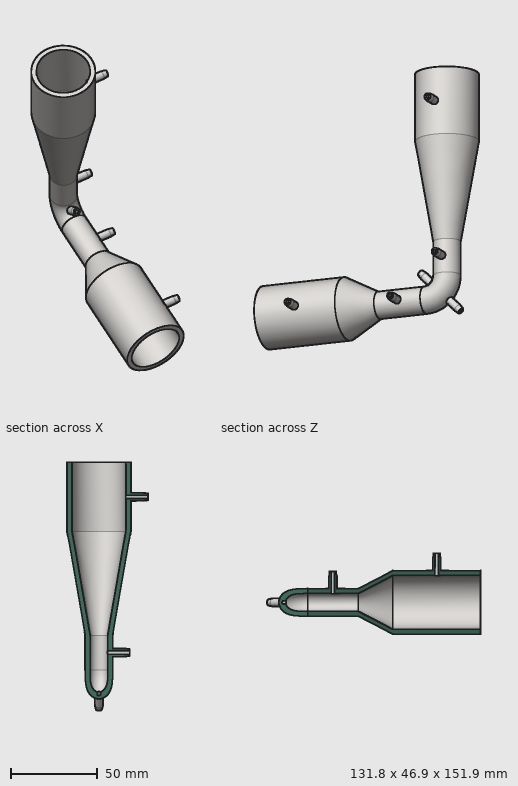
import cadquery as cq
import math

barrel_radius = 18.5
neck_radius = 8.0
wall = 3.0
barrel_bore_radius = barrel_radius - wall
neck_bore_radius = neck_radius - wall

bend_radius = 13.5

upright_neck = 20.0
upright_cone = 59.9
upright_barrel = 40.0
level_neck = 29.0
level_cone = 20.0
level_barrel = 50.8

port_length = 9.9
port_radius = 2.5
port_tip_length = 3.0
port_tip_radius = 2.0
port_bore_radius = 0.9

diagonal = math.sqrt(0.5)
back = (0, 1, 0)


def arm_profile(neck_r, barrel_r, neck, cone, barrel):
    """Solid of revolution along +Z: neck, cone, then barrel, starting at the elbow end."""
    cone_start = bend_radius + neck
    cone_end = cone_start + cone
    barrel_end = cone_end + barrel
    return (
        cq.Workplane("XZ")
        .moveTo(0, bend_radius)
        .lineTo(neck_r, bend_radius)
        .lineTo(neck_r, cone_start)
        .lineTo(barrel_r, cone_end)
        .lineTo(barrel_r, barrel_end)
        .lineTo(0, barrel_end)
        .close()
        .revolve(360, (0, 0, 0), (0, 1, 0))
    )


def elbow(radius):
    """Quarter torus from the upright arm to the level arm."""
    return (
        cq.Workplane(cq.Plane(origin=(0, 0, bend_radius), xDir=(0, 1, 0), normal=(0, 0, 1)))
        .circle(radius)
        .revolve(90, (0, -bend_radius, 0), (-1, -bend_radius, 0))
    )


def port_stem(centre, direction, tube_radius):
    """Round stem with a tapered tip, running outward from the tube centreline."""
    stem_length = tube_radius + port_length - port_tip_length
    start = cq.Vector(*centre)
    axis = cq.Vector(*direction)
    stem = cq.Solid.makeCylinder(port_radius, stem_length, start, axis)
    tip = cq.Solid.makeCone(
        port_radius, port_tip_radius, port_tip_length, start + axis * stem_length, axis
    )
    return stem.fuse(tip)


def port_bore(centre, direction, tube_radius):
    """Passage from the tube centreline out through the port tip."""
    depth = tube_radius + port_length
    return cq.Solid.makeCylinder(port_bore_radius, depth, cq.Vector(*centre), cq.Vector(*direction))


def hollow_with_ports(outside, inside, ports):
    """Add the port stems, then open the main bore and the port bores."""
    body = outside
    for port in ports:
        body = body.union(cq.Workplane(port_stem(*port)))
    body = body.cut(inside)
    for port in ports:
        body = body.cut(cq.Workplane(port_bore(*port)))
    return body


def make_upright_tube():
    lengths = (upright_neck, upright_cone, upright_barrel)
    outside = arm_profile(neck_radius, barrel_radius, *lengths).union(elbow(neck_radius))
    inside = arm_profile(neck_bore_radius, barrel_bore_radius, *lengths).union(elbow(neck_bore_radius))

    neck_port_z = bend_radius + upright_neck / 2
    barrel_port_z = bend_radius + upright_neck + upright_cone + upright_barrel / 2
    elbow_middle = bend_radius * (1 - diagonal)
    elbow_centre = (elbow_middle, 0, elbow_middle)
    ports = [
        ((0, 0, neck_port_z), back, neck_radius),
        ((0, 0, barrel_port_z), back, barrel_radius),
        (elbow_centre, (diagonal, 0, diagonal), neck_radius),
        (elbow_centre, (-diagonal, 0, -diagonal), neck_radius),
    ]
    return hollow_with_ports(outside, inside, ports)


def make_level_tube():
    lengths = (level_neck, level_cone, level_barrel)
    outside = arm_profile(neck_radius, barrel_radius, *lengths).rotate((0, 0, 0), (0, 1, 0), 90)
    inside = arm_profile(neck_bore_radius, barrel_bore_radius, *lengths).rotate((0, 0, 0), (0, 1, 0), 90)

    neck_port_x = bend_radius + level_neck / 2
    barrel_port_x = bend_radius + level_neck + level_cone + level_barrel / 2
    ports = [
        ((neck_port_x, 0, 0), back, neck_radius),
        ((barrel_port_x, 0, 0), back, barrel_radius),
    ]
    return hollow_with_ports(outside, inside, ports)


upright_tube = make_upright_tube()
level_tube = make_level_tube()

result = cq.Compound.makeCompound([upright_tube.val(), level_tube.val()])